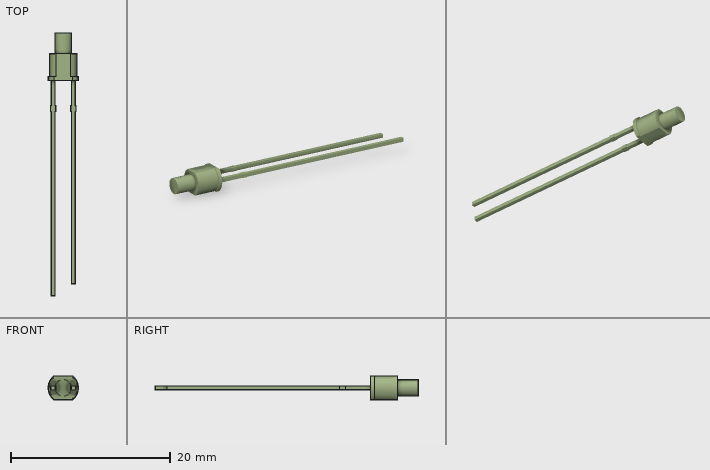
import cadquery as cq
import math

FLANGE_DIAMETER = 3.8
BARREL_DIAMETER = 3.48
LENS_DIAMETER = 2.08
FLAT_TO_FLAT = 3.0
FLANGE_LENGTH = 0.5
BARREL_LENGTH = 2.9
LENS_LENGTH = 2.6

LEAD_PITCH = 2.54
LEAD_SIZE = 0.5
LONG_LEAD_LENGTH = 27.0
SHORT_LEAD_LENGTH = 25.5

STOP_WIDTH = 0.7
STOP_START = 3.12
STOP_LENGTH = 0.75


def rod(diameter, start, length):
    """Round rod along +Y, beginning at Y = start."""
    return cq.Workplane("XZ", origin=(0, start, 0)).circle(diameter / 2).extrude(-length)


def flatted_rod(diameter, start, length):
    """Round rod along +Y with flats on its +Z and -Z sides."""
    half_height = FLAT_TO_FLAT / 2
    radius = diameter / 2
    half_flat = math.sqrt(radius**2 - half_height**2)
    return (
        cq.Workplane("XZ", origin=(0, start, 0))
        .moveTo(-half_flat, half_height)
        .lineTo(half_flat, half_height)
        .threePointArc((radius, 0), (half_flat, -half_height))
        .lineTo(-half_flat, -half_height)
        .threePointArc((-radius, 0), (-half_flat, half_height))
        .close()
        .extrude(-length)
    )


def lead(center_x, length):
    """Square lead running toward -Y, with a wider rectangular stop below the flange."""
    wire = cq.Workplane("XY").box(LEAD_SIZE, length, LEAD_SIZE).translate((center_x, -length / 2, 0))
    stop_middle = -(STOP_START + STOP_LENGTH / 2)
    stop = cq.Workplane("XY").box(STOP_WIDTH, STOP_LENGTH, LEAD_SIZE).translate((center_x, stop_middle, 0))
    return wire.union(stop)


flange = flatted_rod(FLANGE_DIAMETER, 0, FLANGE_LENGTH)
barrel = flatted_rod(BARREL_DIAMETER, FLANGE_LENGTH, BARREL_LENGTH)
lens = rod(LENS_DIAMETER, FLANGE_LENGTH + BARREL_LENGTH, LENS_LENGTH)
long_lead = lead(-LEAD_PITCH / 2, LONG_LEAD_LENGTH)
short_lead = lead(LEAD_PITCH / 2, SHORT_LEAD_LENGTH)

result = flange.union(barrel).union(lens).union(long_lead).union(short_lead)